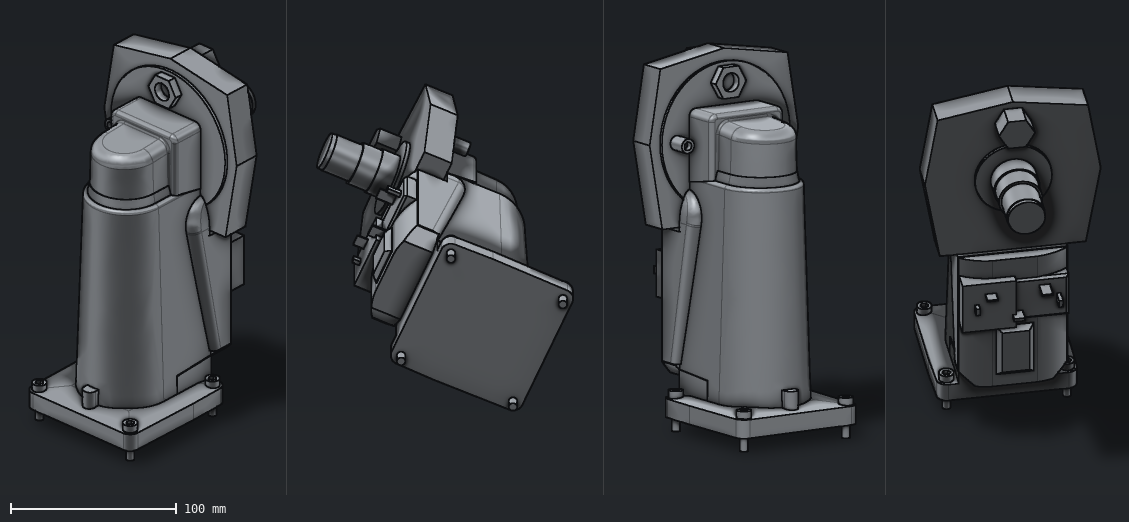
import cadquery as cq

OVERLAP = 1.2

base_back = 3.2
base_front = -83.0
base_half_width = 43.0
base_mid_half_width = 43.5
base_mid_y = -27.5
base_height = 11.5
base_corner_radius = 6.2
crown_inset = 19.5
crown_height = 2.3
screw_x = 37.0
screw_inset = 6.2
screw_head_diameter = 9.0
screw_head_top = 16.4
screw_socket_corners = 5.0
screw_socket_depth = 3.5
stud_diameter = 5.0
stud_length = 8.8

body_axis_y = -39.7
body_bottom_half_width = 30.5
body_top_half_width = 26.0
body_top = 147.1
body_shoulder_radius = 2.3
pad_rear_top = 27.2
pad_front_top = 25.4
boss_diameter = 9.0
boss_radius = boss_diameter / 2
boss_axis_y = -72.2
boss_top = 23.8
head_half_width = 26.5
head_rear_bottom = 142.5
head_top = 187.7
head_front = -25.4
head_edge_radius = 4.5
head_front_radius = 2.8
flare_half_width = 23.5
flare_top = 153.4
nose_root_radius = 1.4
nose_bottom_half_width = 22.1
nose_top_half_width = 21.2
nose_rear_top = 183.3
nose_front_top = 180.3
nose_edge_radius = 7.4

axis_z = 168.0
flange_thickness = 18.0
flange_width = 107.7
flange_half_width = flange_width / 2
flange_top = 221.9
flange_shoulder_half_width = 46.1
flange_shoulder_z = 214.0
flange_foot_half_width = 44.7
flange_foot_z = 115.3
disc_radius = 46.4
disc_thickness = 2.0
collar_diameter = 47.0
collar_end = 20.3
hub_diameter = 28.1
hub_end = 31.5
sleeve_diameter = 26.5
sleeve_end = 43.8
shaft_diameter = 23.5
shaft_end = 63.9
shaft_tip_length = 3.0
shaft_tip_diameter = 22.8
hex_corners = 22.1
nut_z = 202.0
nut_front = -7.5
nut_hole_diameter = 11.5
bolt_head_z = 207.5
bolt_head_end = 32.0
pin_x = -35.7
pin_diameter = 9.0
pin_front = -14.5
pin_hole_diameter = 5.0
pin_hole_depth = 4.5

box_half_width = 33.7
box_back = 17.3
box_bottom = 30.5
box_top = 113.0
hump_half_width = 27.7
hump_top = 138.8
hump_front = -15.7
hump_front_z = 118.8
box_foot_y = 1.5
box_edge_radius = 6.2
lip_bottom = 21.5
lip_bottom_half_width = 24.0
cover_top = 112.5
cover_back = 24.5
cover_half_width = 33.2
cover_flat_half_width = 13.8
cover_mid = (25.8, 21.7)
cover_edge_back = 17.8
cover_bulge_half_width = 11.5
cover_bulge_back = 28.1
cover_bulge_bottom = 30.2
cover_bulge_top = 65.0
cover_bulge_chamfer = 3.2
socket_half_width = 33.0
socket_plate_back = 25.8
socket_plate_bottom = 68.7
socket_plate_top = 97.8
socket_plate_chamfer = 1.5
socket_block_back = 29.7
socket_block_bottom = 66.2
socket_block_top = 99.9
contact_centre_x = -1.2
flat_contact_offset = 16.8
flat_contact_size = (6.7, 1.0)
flat_contact_z = 92.0
flat_contact_end = 36.7
upright_contact_offset = 25.4
upright_contact_size = (2.5, 4.5)
upright_contact_z = 83.0
upright_contact_end = 34.4
earth_contact_size = (6.7, 2.0)
earth_contact_z = 74.5


def block(x_range, y_range, z_range):
    """Axis-aligned box between the given limits."""
    (x0, x1), (y0, y1), (z0, z1) = x_range, y_range, z_range
    return cq.Workplane("XY").box(x1 - x0, y1 - y0, z1 - z0, centered=False).translate((x0, y0, z0))


def facing_back(x, z, y):
    """Workplane at depth y whose local axes are -X and Z; positive extrusions run towards +Y."""
    plane = cq.Plane(origin=(x, y, z), xDir=(-1, 0, 0), normal=(0, 1, 0))
    return cq.Workplane(plane)


def rod(diameter, y0, y1, x=0.0, z=axis_z):
    """Cylinder along Y."""
    return facing_back(x, z, y0).circle(diameter / 2).extrude(y1 - y0)


def hex_bar(corners, y0, y1, z):
    """Hexagonal prism along Y with two corners pointing along X."""
    return facing_back(0, z, y0).polygon(6, corners).extrude(y1 - y0)


def side_prism(points, half_width):
    """Symmetric prism whose outline is given as (y, z) points."""
    return cq.Workplane("YZ").polyline(points).close().extrude(half_width, both=True)


def u_outline(workplane, half_width, rear_y):
    """U outline: straight sides running back to rear_y and a round front."""
    return (
        workplane.moveTo(-half_width, rear_y)
        .lineTo(-half_width, body_axis_y)
        .threePointArc((0, body_axis_y - half_width), (half_width, body_axis_y))
        .lineTo(half_width, rear_y)
        .close()
    )


def u_loft(bottom_half_width, top_half_width, bottom, top, rear_y):
    """Tapered column with a U-shaped section."""
    lower = u_outline(cq.Workplane("XY").workplane(offset=bottom), bottom_half_width, rear_y)
    upper = u_outline(lower.workplane(offset=top - bottom), top_half_width, rear_y)
    return upper.loft(ruled=True)


def make_base():
    plate = (
        cq.Workplane("XY")
        .polyline([
            (-base_half_width, base_front),
            (base_half_width, base_front),
            (base_mid_half_width, base_mid_y),
            (base_half_width, base_back),
            (-base_half_width, base_back),
            (-base_mid_half_width, base_mid_y),
        ])
        .close()
        .extrude(base_height)
    )
    for y in (base_front, base_back):
        for x in (-base_half_width, base_half_width):
            corner = cq.selectors.NearestToPointSelector((x, y, base_height / 2))
            plate = plate.edges(corner).fillet(base_corner_radius)
    length = base_back - base_front
    crown = (
        cq.Workplane("XY", origin=(0, (base_back + base_front) / 2, base_height))
        .rect(2 * base_half_width, length)
        .workplane(offset=crown_height)
        .rect(2 * (base_half_width - crown_inset), length - 2 * crown_inset)
        .loft()
    )
    column = block(
        (-base_half_width, base_half_width),
        (base_front, base_back),
        (base_height, base_height + crown_height),
    )
    column = column.edges("|Z").fillet(base_corner_radius)
    return plate.union(crown.intersect(column))


def add_screws(part):
    for x in (-screw_x, screw_x):
        for y in (base_front + screw_inset, base_back - screw_inset):
            at_screw = cq.Workplane("XY", origin=(x, y, 0))
            head = at_screw.circle(screw_head_diameter / 2).extrude(screw_head_top)
            stud = at_screw.circle(stud_diameter / 2).extrude(-stud_length)
            socket = (
                at_screw.workplane(offset=screw_head_top)
                .polygon(6, screw_socket_corners)
                .extrude(-screw_socket_depth)
            )
            part = part.union(head).union(stud).cut(socket)
    return part


def make_body():
    body = u_loft(body_bottom_half_width, body_top_half_width, base_height, body_top, base_back)
    body = body.faces(">Z").edges("<Y").fillet(body_shoulder_radius)
    above_saddle = side_prism(
        [(0, head_rear_bottom), (head_front, body_top), (head_front, head_top), (0, head_top)],
        body_bottom_half_width,
    )
    behind_flange = block(
        (-body_bottom_half_width, body_bottom_half_width),
        (-disc_thickness, base_back),
        (box_top, body_top),
    )
    body = body.cut(above_saddle).cut(behind_flange)
    pad = side_prism(
        [
            (base_back, base_height),
            (base_back, pad_rear_top),
            (base_mid_y, pad_front_top),
            (base_mid_y, base_height),
        ],
        body_bottom_half_width,
    )
    boss = cq.Workplane("XY", origin=(0, boss_axis_y, 0)).circle(boss_radius).extrude(boss_top)
    boss_web = block((-boss_radius, boss_radius), (boss_axis_y, body_axis_y), (base_height, boss_top))
    return body.union(pad).union(boss).union(boss_web)


def make_head():
    head = side_prism(
        [
            (0, head_top),
            (0, head_rear_bottom),
            (head_front, body_top),
            (head_front, head_top),
        ],
        head_half_width,
    )
    head = head.edges("|Y and >Z").fillet(head_edge_radius)
    return head.faces("<Y").edges("not <Z").fillet(head_front_radius)


def make_nose():
    rear_y = head_front + 2 * head_front_radius
    front_y = body_axis_y - nose_bottom_half_width
    nose = u_loft(nose_bottom_half_width, nose_top_half_width, body_top, head_top, rear_y)
    above_slope = side_prism(
        [
            (rear_y, nose_rear_top),
            (front_y, nose_front_top),
            (front_y, head_top + OVERLAP),
            (rear_y, head_top + OVERLAP),
        ],
        head_half_width,
    )
    nose = nose.cut(above_slope)
    return nose.faces(">Z").edges("not >Y").fillet(nose_edge_radius)


def make_head_with_nose():
    """Head and nose with a rounded inner corner between them and a flare at the nose foot."""
    joined = make_head().union(make_nose())
    reach = OVERLAP / 2
    root = cq.selectors.BoxSelector(
        (-nose_bottom_half_width - reach, head_front - reach, body_top + reach),
        (nose_bottom_half_width + reach, head_front + reach, nose_rear_top + reach),
    )
    joined = joined.edges(root).fillet(nose_root_radius)
    flare = u_loft(flare_half_width, nose_bottom_half_width, body_top - OVERLAP, flare_top, head_front)
    return joined.union(flare)


def make_flange():
    half_outline = [
        (0, flange_top),
        (flange_shoulder_half_width, flange_shoulder_z),
        (flange_half_width, axis_z),
        (flange_foot_half_width, flange_foot_z),
        (0, flange_foot_z),
    ]
    plate = facing_back(0, 0, 0).polyline(half_outline).close().extrude(flange_thickness)
    plate = plate.union(plate.mirror("YZ"))
    return plate.union(rod(2 * disc_radius, -disc_thickness, OVERLAP))


def make_shaft():
    steps = [
        (collar_diameter, collar_end),
        (hub_diameter, hub_end),
        (sleeve_diameter, sleeve_end),
        (shaft_diameter, shaft_end - shaft_tip_length),
        (shaft_tip_diameter, shaft_end),
    ]
    start = flange_thickness - OVERLAP
    shaft = rod(steps[0][0], start, steps[0][1])
    for diameter, end in steps[1:]:
        shaft = shaft.union(rod(diameter, start, end))
    return shaft


def add_flange_fasteners(part):
    nut = hex_bar(hex_corners, nut_front, 0, nut_z)
    nut_hole = rod(nut_hole_diameter, nut_front, -disc_thickness, z=nut_z)
    bolt_head = hex_bar(hex_corners, flange_thickness - OVERLAP, bolt_head_end, bolt_head_z)
    pin = rod(pin_diameter, pin_front, 0, x=pin_x)
    pin_hole = rod(pin_hole_diameter, pin_front, pin_front + pin_hole_depth, x=pin_x)
    return part.union(nut).union(bolt_head).union(pin).cut(nut_hole).cut(pin_hole)


def make_box():
    """Box with a slanted, edge-rounded front and shoulders that curve into the body at the top."""
    side = (
        cq.Workplane("YZ")
        .moveTo(box_foot_y, box_bottom)
        .lineTo(hump_front, hump_front_z)
        .tangentArcPoint((-disc_thickness, hump_top), relative=False)
        .lineTo(-disc_thickness, box_top)
        .lineTo(box_back, box_top)
        .lineTo(box_back, box_bottom)
        .close()
        .extrude(box_half_width, both=True)
    )
    half_front = (
        cq.Workplane("XZ", origin=(0, box_back, 0))
        .moveTo(0, box_bottom)
        .lineTo(box_half_width, box_bottom)
        .lineTo(box_half_width, hump_front_z)
        .tangentArcPoint((hump_half_width, hump_top), relative=False)
        .lineTo(0, hump_top)
        .close()
        .extrude(box_back - hump_front + box_edge_radius)
    )
    box = side.intersect(half_front.union(half_front.mirror("YZ")))
    slope_mid = ((hump_front + box_foot_y) / 2, (hump_front_z + box_bottom) / 2)
    for x in (-box_half_width, box_half_width):
        edge = cq.selectors.NearestToPointSelector((x, *slope_mid))
        box = box.edges(edge).fillet(box_edge_radius)
    return box


def cover_prism(front_y, bottom, top):
    """Prism with a crowned back surface, reaching forward to the given depth."""
    mid_x, mid_y = cover_mid
    return (
        cq.Workplane("XY", origin=(0, 0, bottom))
        .moveTo(-cover_half_width, front_y)
        .lineTo(-cover_half_width, cover_edge_back)
        .threePointArc((-mid_x, mid_y), (-cover_flat_half_width, cover_back))
        .lineTo(cover_flat_half_width, cover_back)
        .threePointArc((mid_x, mid_y), (cover_half_width, cover_edge_back))
        .lineTo(cover_half_width, front_y)
        .close()
        .extrude(top - bottom)
    )


def make_lip():
    """Lower end of the box, its sides drawn in towards the bottom."""
    tapered = (
        facing_back(0, 0, 0)
        .polyline([
            (-box_half_width, box_bottom),
            (box_half_width, box_bottom),
            (lip_bottom_half_width, lip_bottom),
            (-lip_bottom_half_width, lip_bottom),
        ])
        .close()
        .extrude(cover_back)
    )
    return cover_prism(base_back, lip_bottom, box_bottom).intersect(tapered)


def make_cover():
    bulge = block(
        (-cover_bulge_half_width, cover_bulge_half_width),
        (box_back, cover_bulge_back),
        (cover_bulge_bottom, cover_bulge_top),
    )
    bulge = bulge.faces(">Y").chamfer(cover_bulge_chamfer)
    return cover_prism(box_back - OVERLAP, box_bottom, cover_top).union(bulge)


def contact(x, z, size, end):
    """Blade contact of the connector, size given as (width, height)."""
    width, height = size
    return facing_back(x, z, cover_back - OVERLAP).rect(width, height).extrude(end - cover_back + OVERLAP)


def make_connector():
    plate = block(
        (-socket_half_width, 0),
        (box_back, socket_plate_back),
        (socket_plate_bottom, socket_plate_top),
    )
    plate = plate.faces(">Y").edges("not >X").chamfer(socket_plate_chamfer)
    housing = block(
        (0, socket_half_width),
        (box_back, socket_block_back),
        (socket_block_bottom, socket_block_top),
    )
    connector = plate.union(housing)
    for side in (-1, 1):
        flat_x = contact_centre_x + side * flat_contact_offset
        upright_x = contact_centre_x + side * upright_contact_offset
        connector = connector.union(contact(flat_x, flat_contact_z, flat_contact_size, flat_contact_end))
        connector = connector.union(
            contact(upright_x, upright_contact_z, upright_contact_size, upright_contact_end)
        )
    return connector.union(
        contact(contact_centre_x, earth_contact_z, earth_contact_size, upright_contact_end)
    )


result = make_base().union(make_body()).union(make_head_with_nose())
result = result.union(make_box()).union(make_lip()).union(make_cover()).union(make_connector())
result = result.union(make_flange()).union(make_shaft())
result = add_screws(add_flange_fasteners(result))